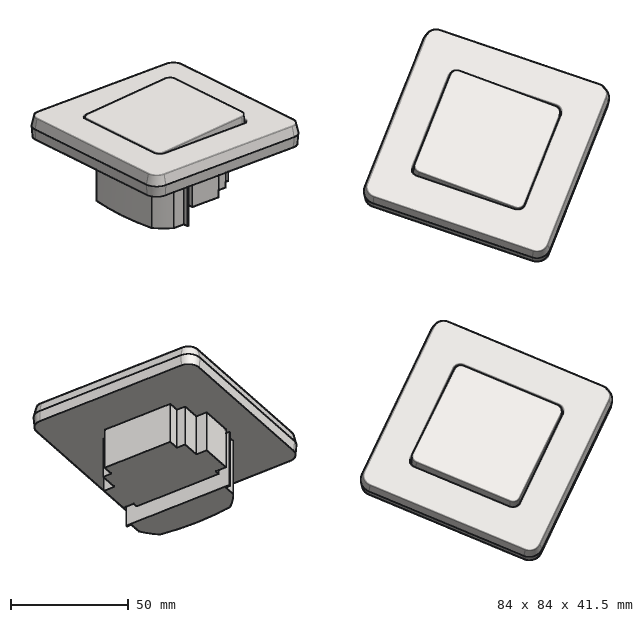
import cadquery as cq
import math

FRAME_SIZE = 84.0
BASE_HEIGHT = 5.0
COVER_HEIGHT = 4.95
FRAME_CORNER = 5.9
BASE_INSET = 0.4
COVER_INSET = 1.2
COVER_EDGE_RADIUS = 0.25

ROCKER_SIZE = 49.7
ROCKER_CORNER = 3.0
ROCKER_TILT = 4.0
ROCKER_TOP = 13.5
ROCKER_TOP_Y = -0.3
ROCKER_EDGE_RADIUS = 0.25
ROCKER_GAP = 0.7
OPENING_SIZE = ROCKER_SIZE + 2 * ROCKER_GAP
OPENING_CORNER = 3.4

TERMINAL_DEPTH = 28.0
TERMINAL_WIDTH = 48.4
TERMINAL_BACK_Y = -9.7
TERMINAL_SIDE_Y = -16.2
TERMINAL_NOSE_X = 18.0
TERMINAL_NOSE_Y = -23.1
FRONT_BULGE = 1.4
CORNER_BULGE = 0.3
FLANGE_WIDTH = 52.75
FLANGE_THICKNESS = 0.75

SWITCH_DEPTH = 20.0
SWITCH_WIDE = 52.6
SWITCH_MIDDLE = 42.0
SWITCH_NARROW = 33.6
SWITCH_WIDE_Y = 7.4
SWITCH_MIDDLE_Y = 16.0
SWITCH_BACK_Y = 21.1


def tapered_plate(bottom_z, height, inset):
    """Rounded square of the widest frame outline, narrowing by inset over a signed height."""
    taper = math.degrees(math.atan2(inset, abs(height)))
    outline = cq.Sketch().rect(FRAME_SIZE, FRAME_SIZE).vertices().fillet(FRAME_CORNER)
    return cq.Workplane("XY", origin=(0, 0, bottom_z)).placeSketch(outline).extrude(height, taper=taper)


def box_between(width, y_front, y_back, depth):
    """Block centred on X = 0 that hangs down from the underside of the base plate."""
    return (
        cq.Workplane("XY")
        .center(0, (y_front + y_back) / 2)
        .rect(width, y_back - y_front)
        .extrude(-depth)
    )


def make_base_plate():
    return tapered_plate(BASE_HEIGHT, -BASE_HEIGHT, BASE_INSET)


def make_cover():
    opening = (
        cq.Workplane("XY", origin=(0, 0, BASE_HEIGHT))
        .rect(OPENING_SIZE, OPENING_SIZE)
        .extrude(COVER_HEIGHT)
        .edges("|Z")
        .fillet(OPENING_CORNER)
    )
    ring = tapered_plate(BASE_HEIGHT, COVER_HEIGHT, COVER_INSET).cut(opening)
    return ring.faces(">Z").edges().fillet(COVER_EDGE_RADIUS)


def make_rocker():
    """Square key tilted about X, cut flat where it rests on the base plate."""
    tilt = math.radians(ROCKER_TILT)
    centre_z = ROCKER_TOP - ROCKER_SIZE / 2 * math.sin(tilt)
    key = (
        cq.Workplane("XY")
        .rect(ROCKER_SIZE, ROCKER_SIZE)
        .extrude(-ROCKER_TOP)
        .edges("|Z")
        .fillet(ROCKER_CORNER)
        .faces(">Z")
        .edges()
        .fillet(ROCKER_EDGE_RADIUS)
        .rotate((0, 0, 0), (1, 0, 0), ROCKER_TILT)
        .translate((0, ROCKER_TOP_Y, centre_z))
    )
    above_base = (
        cq.Workplane("XY", origin=(0, 0, BASE_HEIGHT))
        .rect(FRAME_SIZE, FRAME_SIZE)
        .extrude(ROCKER_TOP)
    )
    return key.intersect(above_base)


def make_terminal_housing():
    half_width = TERMINAL_WIDTH / 2
    body = (
        cq.Workplane("XY")
        .moveTo(-half_width, TERMINAL_BACK_Y)
        .lineTo(-half_width, TERMINAL_SIDE_Y)
        .sagittaArc((-TERMINAL_NOSE_X, TERMINAL_NOSE_Y), -CORNER_BULGE)
        .sagittaArc((TERMINAL_NOSE_X, TERMINAL_NOSE_Y), -FRONT_BULGE)
        .sagittaArc((half_width, TERMINAL_SIDE_Y), -CORNER_BULGE)
        .lineTo(half_width, TERMINAL_BACK_Y)
        .close()
        .extrude(-TERMINAL_DEPTH)
    )
    flange = box_between(
        FLANGE_WIDTH, TERMINAL_BACK_Y - FLANGE_THICKNESS, TERMINAL_BACK_Y, TERMINAL_DEPTH
    )
    return body.union(flange)


def make_switch_housing():
    narrow = box_between(SWITCH_NARROW, TERMINAL_BACK_Y, SWITCH_BACK_Y, SWITCH_DEPTH)
    middle = box_between(SWITCH_MIDDLE, TERMINAL_BACK_Y, SWITCH_MIDDLE_Y, SWITCH_DEPTH)
    wide = box_between(SWITCH_WIDE, -SWITCH_WIDE_Y, SWITCH_WIDE_Y, SWITCH_DEPTH)
    return narrow.union(middle).union(wide)


base_plate = make_base_plate()
cover = make_cover()
rocker = make_rocker()
terminal_housing = make_terminal_housing()
switch_housing = make_switch_housing()

result = cq.Compound.makeCompound(
    [
        base_plate.val(),
        cover.val(),
        rocker.val(),
        terminal_housing.val(),
        switch_housing.val(),
    ]
)